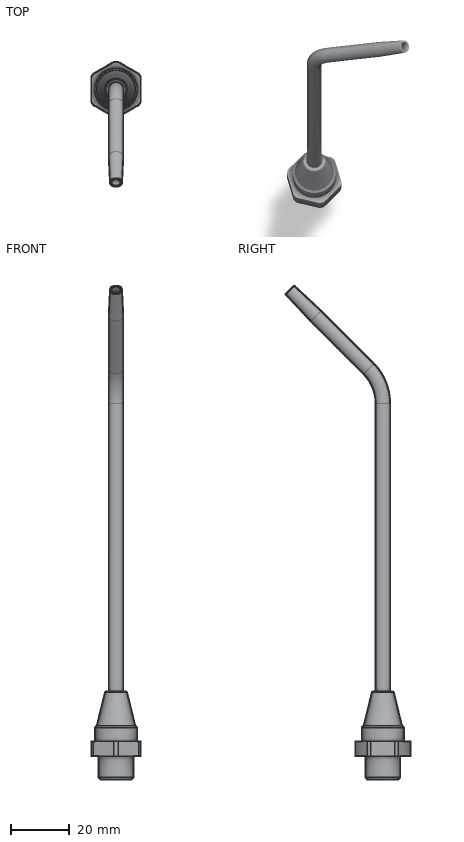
import cadquery as cq
import math

total_height = 168.0
tube_diameter = 5.0
bore_diameter = 3.0
bend_radius = 16.6
bend_angle = 45.0
arm_length = 25.4
tip_length = 12.5
tip_diameter = 4.2

spigot_diameter = 12.0
spigot_height = 8.0
spigot_chamfer = 0.8
hex_across_flats = 17.0
hex_corner_diameter = 18.8
hex_height = 5.0
collar_diameter = 14.5
collar_height = 5.4
collar_chamfer = 0.7
cone_base_diameter = collar_diameter - 2 * collar_chamfer
cone_top_diameter = 7.5
cone_height = 11.6
cone_chamfer = 0.3

hex_top = spigot_height + hex_height
collar_top = hex_top + collar_height
cone_top = collar_top + cone_height

bend_sine = math.sin(math.radians(bend_angle))
bend_cosine = math.cos(math.radians(bend_angle))
half_sine = math.sin(math.radians(bend_angle / 2))
half_cosine = math.cos(math.radians(bend_angle / 2))
slope_rise = (arm_length + tip_length) * bend_cosine + tip_diameter / 2 * bend_sine
bend_start = total_height - slope_rise - bend_radius * bend_sine


def centreline_point(along_y, along_z):
    """Point in the YZ plane measured from the start of the bend."""
    return (-along_y, bend_start + along_z)


bend_middle = centreline_point(bend_radius * (1 - half_cosine), bend_radius * half_sine)
bend_end = centreline_point(bend_radius * (1 - bend_cosine), bend_radius * bend_sine)


def arm_point(distance):
    """Point on the sloping arm at a distance from the end of the bend."""
    return (bend_end[0] - distance * bend_sine, bend_end[1] + distance * bend_cosine)


def swept_round(diameter, start_height, slope_length):
    """Round bar along the bent centreline."""
    path = (
        cq.Workplane("YZ")
        .moveTo(0, start_height)
        .lineTo(0, bend_start)
        .threePointArc(bend_middle, bend_end)
        .lineTo(*arm_point(slope_length))
    )
    return cq.Workplane("XY", origin=(0, 0, start_height)).circle(diameter / 2).sweep(path)


def tapered_tip():
    """Cone frustum that closes the sloping arm."""
    base_y, base_z = arm_point(arm_length)
    base = cq.Plane(
        origin=(0, base_y, base_z), xDir=(1, 0, 0), normal=(0, -bend_sine, bend_cosine)
    )
    return (
        cq.Workplane(base)
        .circle(tube_diameter / 2)
        .workplane(offset=tip_length)
        .circle(tip_diameter / 2)
        .loft()
    )


def turned_fitting():
    """Spigot, collar and cone revolved about Z."""
    outline = [
        (0, 0),
        (spigot_diameter / 2 - spigot_chamfer, 0),
        (spigot_diameter / 2, spigot_chamfer),
        (spigot_diameter / 2, spigot_height),
        (collar_diameter / 2, spigot_height),
        (collar_diameter / 2, collar_top - collar_chamfer),
        (cone_base_diameter / 2, collar_top),
        (cone_top_diameter / 2, cone_top - cone_chamfer),
        (cone_top_diameter / 2 - cone_chamfer, cone_top),
        (0, cone_top),
    ]
    return cq.Workplane("XZ").polyline(outline).close().revolve(360, (0, 0), (0, 1))


def hexagon():
    """Hexagon with corners on the Y axis, turned down at the corners."""
    sharp_diameter = hex_across_flats / math.cos(math.pi / 6)
    base = cq.Workplane("XY", origin=(0, 0, spigot_height))
    prism = base.transformed(rotate=(0, 0, 90)).polygon(6, sharp_diameter).extrude(hex_height)
    return prism.intersect(base.circle(hex_corner_diameter / 2).extrude(hex_height))


body = turned_fitting().union(hexagon())
body = body.union(swept_round(tube_diameter, hex_top, arm_length)).union(tapered_tip())
result = body.cut(swept_round(bore_diameter, 0, arm_length + tip_length))